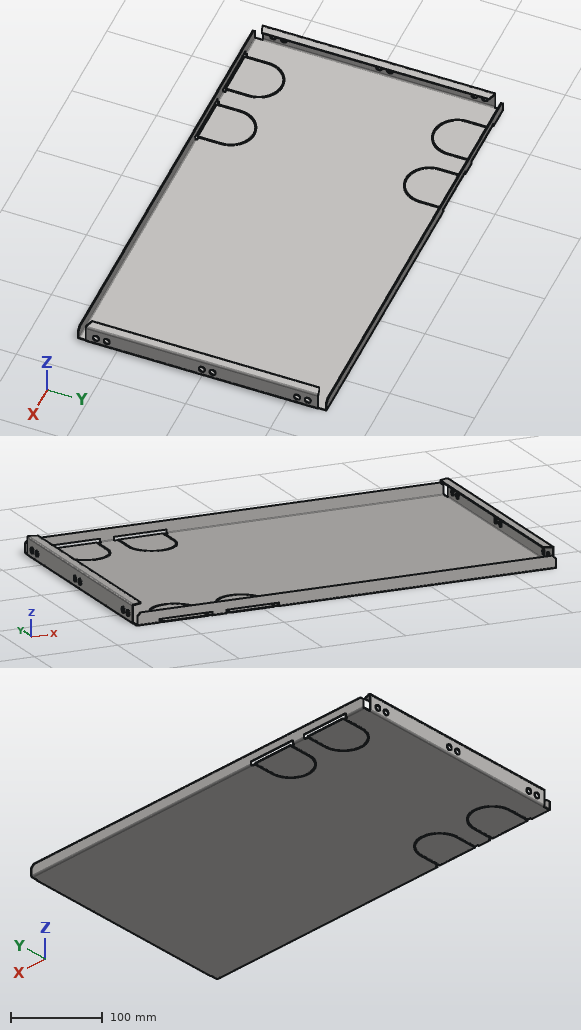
import cadquery as cq

length = 506.5
width = 294.0
height = 22.5
sheet = 1.2
inner_bend = 0.5
outer_bend = inner_bend + sheet

side_height = 15.0
side_chamfer = 4.0
side_length = length - 2 * outer_bend

end_width = 274.5
lip_depth = 11.5
lip_taper_along_x = 9.0
lip_taper_along_y = 3.0

hole_diameter = 7.0
hole_height = 9.0
hole_spacing = 12.5
outer_hole = 125.0
first_holes = (-outer_hole, 0, outer_hole - hole_spacing)
hole_places = [first + step for first in first_holes for step in (0, hole_spacing)]

knockout_from_end = 60.5
knockout_pitch = 80.0
knockout_places = [-length / 2 + knockout_from_end + step * knockout_pitch for step in (0, 1)]
arc_centre_from_edge = 30.0
slit_outer_radius = 28.0
slit_width = 1.2
slit_inner_radius = slit_outer_radius - slit_width
bridge_width = 1.5

window_length = 63.5
window_height = 4.5
window_depth = 3.0
tab_inset = outer_bend


def block(x_min, x_max, y_min, y_max, z_min, z_max):
    """Box between two corners."""
    size = (x_max - x_min, y_max - y_min, z_max - z_min)
    return cq.Workplane("XY").box(*size, centered=False).translate((x_min, y_min, z_min))


def channel(span, leg_height, run):
    """U-channel of bent sheet, open upwards, spanning X and running along Y."""
    outside = block(-span / 2, span / 2, -run / 2, run / 2, 0, leg_height)
    outside = outside.edges("|Y and <Z").fillet(outer_bend)
    half_inside = span / 2 - sheet
    inside = block(-half_inside, half_inside, -run / 2, run / 2, sheet, leg_height)
    return outside.cut(inside.edges("|Y and <Z").fillet(inner_bend))


def side_channel():
    """Floor with the two side flanges, whose free corners are chamfered."""
    body = channel(width, side_height, side_length).rotate((0, 0, 0), (0, 0, 1), 90)
    return body.faces(">Z").edges("|Y").chamfer(side_chamfer)


def end_channel():
    """Floor with the two end flanges and their inward lips."""
    outside = block(-length / 2, length / 2, -end_width / 2, end_width / 2, 0, height)
    outside = outside.edges("|Y").fillet(outer_bend)
    half_inside = length / 2 - sheet
    inside = block(-half_inside, half_inside, -end_width / 2, end_width / 2, sheet, height - sheet)
    inside = inside.edges("|Y").fillet(inner_bend)
    half_opening = length / 2 - lip_depth
    opening = block(-half_opening, half_opening, -end_width / 2, end_width / 2, sheet, height)
    return outside.cut(inside).cut(opening)


def lip_corner(side_x, side_y):
    """Wedge that tapers one end of a lip."""
    tip_x = length / 2 - lip_depth
    tip_y = end_width / 2
    points = [
        (side_x * tip_x, side_y * tip_y),
        (side_x * (tip_x + lip_taper_along_x), side_y * tip_y),
        (side_x * tip_x, side_y * (tip_y - lip_taper_along_y)),
    ]
    return cq.Workplane("XY").workplane(offset=height - sheet).polyline(points).close().extrude(sheet)


def mounting_holes():
    """Round holes that pass through both end flanges."""
    points = [(y, hole_height) for y in hole_places]
    plane = cq.Workplane("YZ").pushPoints(points)
    return plane.circle(hole_diameter / 2).extrude(length / 2, both=True)


def tongue(radius, inset):
    """Round-ended floor area centred on X = 0, starting at an inset from the -Y edge."""
    edge = -width / 2
    arc_y = edge + arc_centre_from_edge
    outline = (
        cq.Workplane("XY")
        .moveTo(-radius, edge + inset)
        .lineTo(-radius, arc_y)
        .threePointArc((0, arc_y + radius), (radius, arc_y))
        .lineTo(radius, edge + inset)
        .close()
    )
    return outline.extrude(sheet)


def knockout():
    """Material removed around one tab at the -Y edge: U-shaped slit and bend window."""
    edge = -width / 2
    half_window = window_length / 2
    window = block(-half_window, half_window, edge, edge + window_depth, 0, window_height)
    half_bridge = bridge_width / 2
    bridge = block(-half_bridge, half_bridge, edge + arc_centre_from_edge, 0, 0, sheet)
    tab = tongue(slit_inner_radius, tab_inset)
    return tongue(slit_outer_radius, 0).union(window).cut(tab).cut(bridge)


result = side_channel().union(end_channel())
result = result.cut(mounting_holes())
for side_x in (-1, 1):
    for side_y in (-1, 1):
        result = result.cut(lip_corner(side_x, side_y))
for x in knockout_places:
    front_knockout = knockout().translate((x, 0, 0))
    result = result.cut(front_knockout).cut(front_knockout.mirror("XZ"))